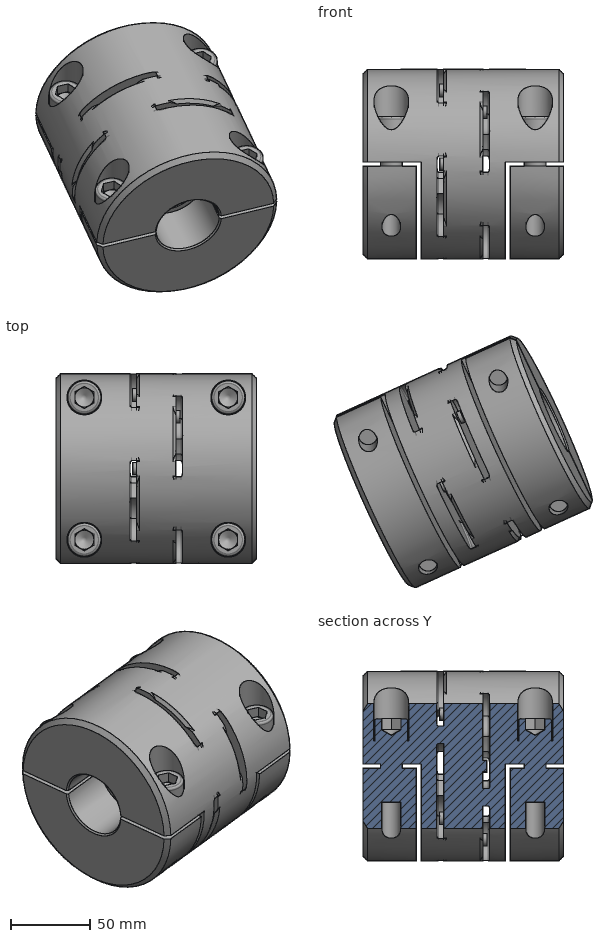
import cadquery as cq
import math


length = 127.0
outer_diameter = 120.0
outer_radius = outer_diameter / 2
end_chamfer = 3.0
cut_overreach = 3.8
cut_radius = outer_radius + cut_overreach

shaft_diameter = 42.0
shaft_chamfer = 1.0
centre_hole_diameter = 22.5

gap_inner_x = 12.5
gap_outer_x = 16.6
gap_fillet = 1.0

post_count = 4
post_pitch = 360.0 / post_count
post_span = post_pitch / 2
post_inner_radius = 36.7
pocket_radius = 14.2
pocket_place = 46.5

recess_floor_x = 10.5
recess_depth = 2.2
recess_clearance = 0.1
recess_count = 2 * post_count

pin_diameter = 8.0
pin_end_x = 15.0

split_width = 2.5
cap_gap_width = 3.0
cap_gap_x = 28.1

screw_x = 45.5
screw_y = 45.0
counterbore_diameter = 22.0
head_diameter = 21.0
head_top_z = 30.0
head_height = 14.0
head_fillet = 1.5
seat_z = head_top_z - head_height
shank_diameter = 14.0
shank_end_z = -22.9
thread_hole_diameter = 11.8
socket_flats = 12.1
socket_corners = socket_flats / math.cos(math.pi / 6)
socket_depth = 7.0
socket_cone_height = 3.4


def x_cylinder(radius, x_start, x_end, y=0.0, z=0.0):
    """Cylinder along X between two stations."""
    return cq.Workplane("YZ", origin=(x_start, y, z)).circle(radius).extrude(x_end - x_start)


def z_cylinder(radius, z_start, z_end, x, y):
    """Cylinder along Z between two heights."""
    return cq.Workplane("XY", origin=(x, y, z_start)).circle(radius).extrude(z_end - z_start)


def turned(shape, angle):
    """Copy of a shape rotated about the coupling axis."""
    return shape.rotate((0, 0, 0), (1, 0, 0), angle)


def outer_body():
    """Chamfered cylinder with the shaft bores and the hole through the middle disc."""
    body = x_cylinder(outer_radius, -length / 2, length / 2)
    body = body.faces("<X or >X").chamfer(end_chamfer)
    body = body.cut(x_cylinder(centre_hole_diameter / 2, -length / 2, length / 2))
    bore = x_cylinder(shaft_diameter / 2, gap_outer_x, length / 2)
    mouth = (
        cq.Workplane("YZ", origin=(length / 2, 0, 0))
        .circle(shaft_diameter / 2 + shaft_chamfer)
        .extrude(-shaft_chamfer, taper=45)
    )
    bore = bore.union(mouth)
    return body.cut(bore).cut(bore.mirror("YZ"))


def post(pocket=pocket_radius):
    """Post between two gap axes, hollowed by a round pocket on each axis."""
    far = 2 * cut_radius
    span = math.radians(post_span)
    depth = gap_outer_x - recess_floor_x
    plane = cq.Workplane("YZ", origin=(recess_floor_x, 0, 0))
    corners = [(0, 0), (far, 0), (far * math.cos(span), far * math.sin(span))]
    wedge = plane.polyline(corners).close().extrude(depth)
    solid = wedge.cut(plane.circle(post_inner_radius).extrude(depth))
    pocket_cut = x_cylinder(pocket, recess_floor_x, gap_outer_x, y=pocket_place)
    for angle in (0.0, post_span):
        solid = solid.cut(turned(pocket_cut, angle))
    return solid


def rim_recess():
    """Sloped cut with the outline of a post in the rim of the middle disc, deepest at the outer surface."""
    profile = [
        (gap_inner_x, outer_radius - recess_depth),
        (recess_floor_x, outer_radius),
        (recess_floor_x, cut_radius),
        (gap_inner_x, cut_radius),
    ]
    slope = cq.Workplane("XY").polyline(profile).close().revolve(360, (0, 0, 0), (1, 0, 0))
    return slope.intersect(post(pocket_radius - recess_clearance))


def gap_cutters():
    """Solids removed beside the middle disc at +X: the gap around posts and pins, and the recesses."""
    posts = [turned(post(), post_span + i * post_pitch) for i in range(post_count)]
    gap = x_cylinder(cut_radius, gap_inner_x, gap_outer_x)
    for one_post in posts:
        gap = gap.cut(one_post)
    gap = gap.faces(">X").edges().fillet(gap_fillet)
    pin = x_cylinder(pin_diameter / 2, gap_inner_x, pin_end_x, y=pocket_place)
    for i in range(post_count):
        gap = gap.cut(turned(pin, i * post_pitch))
    recesses = [turned(rim_recess(), i * post_span) for i in range(recess_count)]
    for one_post in posts:
        recesses = [recess.cut(one_post) for recess in recesses]
    return [gap] + recesses


def clamp_split():
    """Flat split across the +X hub and the gap that frees its lower cap from the middle."""
    cap_gap_inner = cap_gap_x - cap_gap_width / 2
    split_length = length / 2 - cap_gap_inner
    split = cq.Workplane("XY").box(split_length, 2 * cut_radius, split_width)
    split = split.translate((cap_gap_inner + split_length / 2, 0, 0))
    fall = cut_radius + split_width / 2
    cap_gap = cq.Workplane("XY").box(cap_gap_width, 2 * cut_radius, fall)
    cap_gap = cap_gap.translate((cap_gap_x, 0, split_width / 2 - fall / 2))
    return split.union(cap_gap)


def screw(x, y):
    """Socket head screw with a rounded head edge and a hexagon socket with a conical bottom."""
    head = z_cylinder(head_diameter / 2, seat_z, head_top_z, x, y)
    head = head.faces(">Z").edges().fillet(head_fillet)
    socket_floor_z = head_top_z - socket_depth
    socket = (
        cq.Workplane("XY", origin=(x, y, socket_floor_z))
        .transformed(rotate=(0, 0, 90))
        .polygon(6, socket_corners)
        .extrude(socket_depth)
    )
    cone_base = cq.Vector(x, y, socket_floor_z)
    tip = cq.Solid.makeCone(socket_flats / 2, 0, socket_cone_height, cone_base, cq.Vector(0, 0, -1))
    shank = z_cylinder(shank_diameter / 2, shank_end_z, seat_z, x, y)
    return head.union(shank).cut(socket).cut(cq.Workplane(tip))


body = outer_body()

for cutter in gap_cutters():
    body = body.cut(cutter.mirror("YZ"))
    body = body.cut(turned(cutter, post_pitch / 2))

split = clamp_split()
body = body.cut(split).cut(split.mirror("YZ"))

for x in (-screw_x, screw_x):
    for y in (-screw_y, screw_y):
        body = body.cut(z_cylinder(counterbore_diameter / 2, seat_z, outer_radius, x, y))
        body = body.cut(z_cylinder(thread_hole_diameter / 2, -outer_radius, shank_end_z, x, y))
        body = body.union(screw(x, y))

result = body